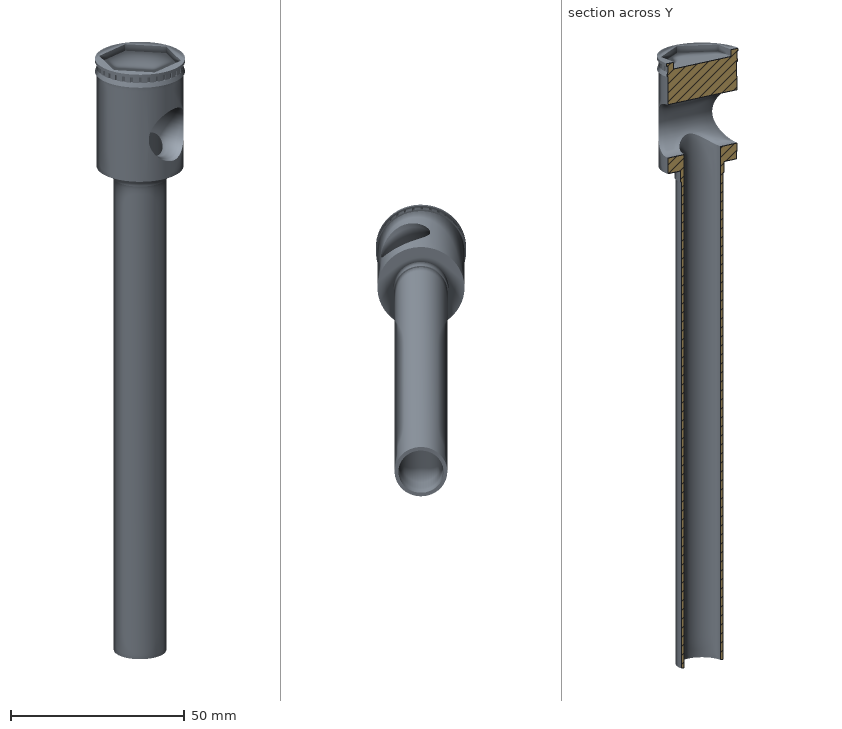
import cadquery as cq

total_height = 183.5
head_height = 33.4
collar_height = 3.3
rim_height = 4.0
head_bottom = total_height - head_height

rim_diameter = 26.0
head_diameter = 25.1
collar_diameter = 16.0
rod_diameter = 15.2

hex_across_corners = 23.9
hex_depth = 2.0

cross_hole_diameter = 16.0
cross_hole_drop = 20.5

bore_diameter = 13.0

groove_drop = 1.0
groove_height = 1.8
groove_taper_height = rim_height - groove_drop - groove_height
groove_diameter = head_diameter
slot_count = 32
slot_pitch_angle = 360 / slot_count
slot_width = 0.7
slot_floor_diameter = 24.2
slot_length = rim_diameter - slot_floor_diameter
groove_bottom = total_height - groove_drop - groove_height


def cylinder(diameter, bottom, height):
    return cq.Workplane("XY").workplane(offset=bottom).circle(diameter / 2).extrude(height)


def stepped_body():
    rod = cylinder(rod_diameter, 0, head_bottom)
    collar = cylinder(collar_diameter, head_bottom - collar_height, collar_height)
    head = cylinder(head_diameter, head_bottom, head_height)
    rim = cylinder(rim_diameter, total_height - rim_height, rim_height)
    return rod.union(collar).union(head).union(rim)


def hex_recess():
    return (
        cq.Workplane("XY")
        .workplane(offset=total_height - hex_depth)
        .transformed(rotate=(0, 0, 90))
        .polygon(6, hex_across_corners)
        .extrude(hex_depth)
    )


def cross_hole():
    return (
        cq.Workplane("YZ")
        .center(0, total_height - cross_hole_drop)
        .circle(cross_hole_diameter / 2)
        .extrude(rim_diameter, both=True)
    )


def rod_bore():
    return cylinder(bore_diameter, 0, total_height - cross_hole_drop)


def knurl_groove():
    floor_radius = groove_diameter / 2
    rim_radius = rim_diameter / 2
    groove_top = groove_bottom + groove_height
    return (
        cq.Workplane("XZ")
        .moveTo(floor_radius, groove_bottom)
        .lineTo(rim_radius, groove_bottom - groove_taper_height)
        .lineTo(rim_radius, groove_top)
        .lineTo(floor_radius, groove_top)
        .close()
        .revolve(360, (0, 0, 0), (0, 1, 0))
    )


def knurl_slots():
    cutters = (
        cq.Workplane("XY")
        .workplane(offset=groove_bottom)
        .polarArray(rim_diameter / 2, slot_pitch_angle / 2, 360, slot_count)
        .rect(slot_length, slot_width)
        .extrude(groove_height)
    )
    return cutters.intersect(cylinder(groove_diameter, groove_bottom, groove_height))


body = stepped_body().cut(hex_recess()).cut(cross_hole()).cut(rod_bore())

result = body.cut(knurl_groove()).cut(knurl_slots())